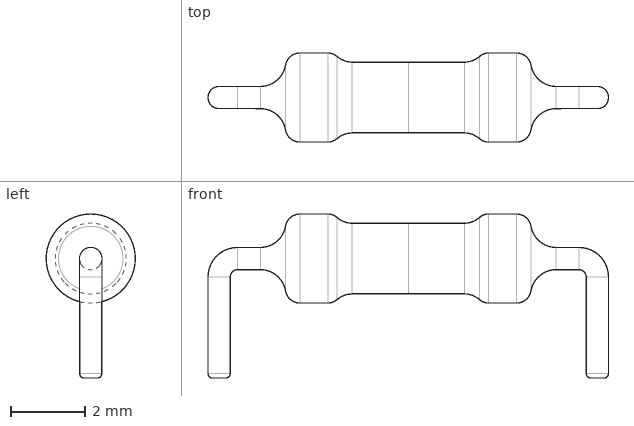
import cadquery as cq

total_length = 10.76
total_height = 4.41
body_diameter = 2.4
waist_diameter = 1.9
lead_diameter = 0.6
lead_bend_radius = 0.5
lead_tip_fillet = 0.13

waist_end = 1.51
bulge_start = 2.15
bulge_end = 2.9
neck_end = 3.97

inner_convex_share = 0.36
outer_convex_share = 0.37

body_radius = body_diameter / 2
waist_radius = waist_diameter / 2
lead_radius = lead_diameter / 2
lead_x = total_length / 2 - lead_radius
lead_bottom = body_radius - total_height


def s_curve(profile, start, end, first_share):
    """Add two tangent arcs that leave start and reach end parallel to X."""
    joint = (
        start[0] + first_share * (end[0] - start[0]),
        start[1] + first_share * (end[1] - start[1]),
    )
    return profile.tangentArcPoint(joint, relative=False).tangentArcPoint(end, relative=False)


def make_half_body():
    """Revolve the +X half of the body, from the waist out to the lead."""
    waist_corner = (waist_end, waist_radius)
    bulge_inner = (bulge_start, body_radius)
    bulge_outer = (bulge_end, body_radius)
    neck_tip = (neck_end, lead_radius)

    profile = cq.Workplane("XZ").lineTo(0, waist_radius).lineTo(*waist_corner)
    profile = s_curve(profile, waist_corner, bulge_inner, 1 - inner_convex_share)
    profile = profile.lineTo(*bulge_outer)
    profile = s_curve(profile, bulge_outer, neck_tip, outer_convex_share)
    profile = profile.lineTo(neck_end, 0).close()
    return profile.revolve(360, (0, 0, 0), (1, 0, 0))


def make_lead():
    """Sweep the +X lead out of the neck and down to its rounded tip."""
    path = (
        cq.Workplane("XZ")
        .moveTo(neck_end, 0)
        .lineTo(lead_x - lead_bend_radius, 0)
        .tangentArcPoint((lead_x, -lead_bend_radius), relative=False)
        .lineTo(lead_x, lead_bottom)
    )
    lead = cq.Workplane("YZ", origin=(neck_end, 0, 0)).circle(lead_radius).sweep(path)
    return lead.faces("<Z").edges().fillet(lead_tip_fillet)


half = make_half_body().union(make_lead())
result = half.union(half.mirror("YZ"))